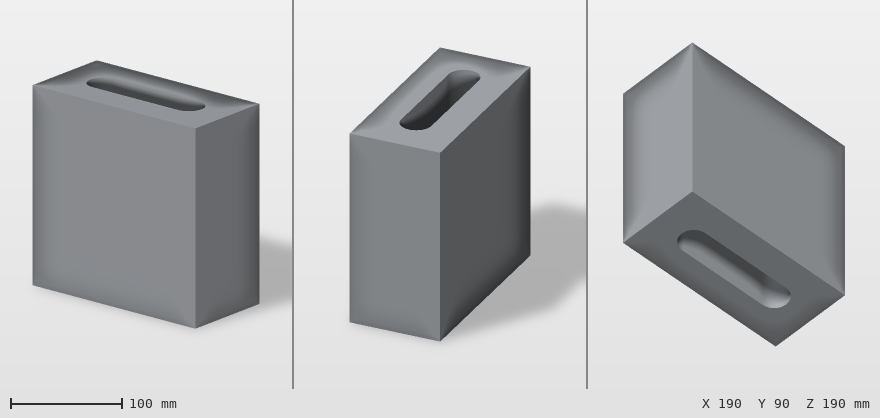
import cadquery as cq

width = 190.0
depth = 90.0
height = 190.0

wall = 30.0
slot_length = width - 2 * wall
slot_width = depth - 2 * wall

block = cq.Workplane("XY").box(width, depth, height)

result = block.faces(">Z").workplane().slot2D(slot_length, slot_width).cutThruAll()